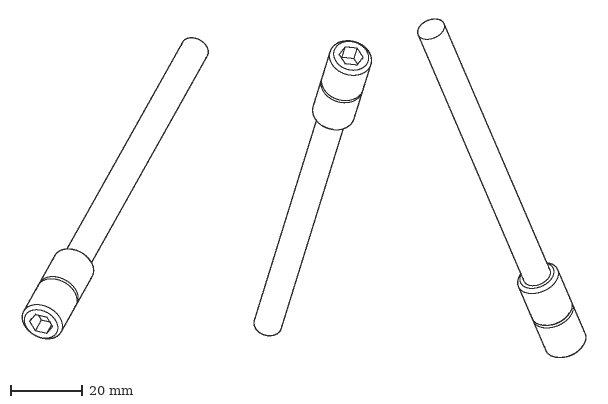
import cadquery as cq
import math

total_length = 128.0
head_diameter = 12.0
head_length = 13.0
shank_diameter = 8.0

sleeve_length = 15.0
edge_chamfer = 1.0

socket_across_flats = 5.9
socket_depth = 5.0


def rod(diameter, start, length):
    """Solid cylinder along +Y that begins at Y = start."""
    plane = cq.Workplane("XZ", origin=(0, start, 0))
    return plane.circle(diameter / 2).extrude(-length)


def make_screw():
    """Cylinder-head screw with a chamfered outer rim and a hexagonal socket."""
    head = rod(head_diameter, 0, head_length).faces("<Y").chamfer(edge_chamfer)
    shank = rod(shank_diameter, head_length, total_length - head_length)
    across_corners = socket_across_flats / math.cos(math.pi / 6)
    socket = cq.Workplane("XZ").polygon(6, across_corners).extrude(-socket_depth)
    return head.union(shank).cut(socket)


def make_sleeve():
    """Ring around the shank, seated on the head and chamfered at both outer rims."""
    blank = rod(head_diameter, head_length, sleeve_length).faces("<Y or >Y").chamfer(edge_chamfer)
    bore = rod(shank_diameter, head_length, sleeve_length)
    return blank.cut(bore)


screw = make_screw()
sleeve = make_sleeve()
result = cq.Compound.makeCompound([screw.val(), sleeve.val()])